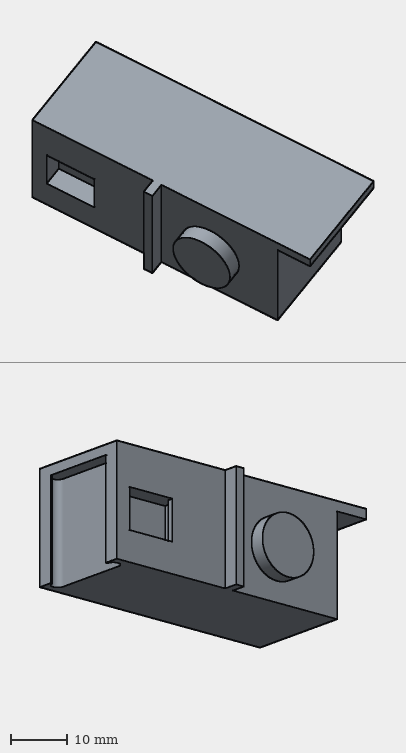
import cadquery as cq

length = 58.5
body_length = 51.7
body_width = 21.0
height = 22.2
plate_thickness = 2.0

projection = 3.0
rib_start = 25.4
rib_thickness = 1.8
boss_diameter = 12.0
boss_x = 37.55
boss_z = 10.05

recess_wall = 3.0
recess_depth = 3.0
undercut_diameter = 2.6

window_x = 3.05
window_length = 10.0
window_z = 6.0
window_height = 8.1
window_depth = 4.0
window_lip = 1.15
window_undercut = 1.7


def box(x, y, z, dx, dy, dz):
    """Box with its lowest corner at (x, y, z)."""
    return cq.Workplane("XY").box(dx, dy, dz, centered=False).translate((x, y, z))


def make_body():
    block = box(0, 0, 0, body_length, body_width, height)
    plate = box(0, 0, height - plate_thickness, length, body_width, plate_thickness)
    return block.union(plate)


def make_projections():
    rib = box(rib_start, -projection, 0, rib_thickness, projection, height)
    boss = (
        cq.Workplane("XZ")
        .center(boss_x, boss_z)
        .circle(boss_diameter / 2)
        .extrude(projection)
    )
    return rib.union(boss)


def make_end_recess():
    recess_height = height - plate_thickness
    recess_width = body_width - 2 * recess_wall
    recess = box(0, recess_wall, 0, recess_depth, recess_width, recess_height)
    undercut_x = recess_depth - undercut_diameter / 2
    undercuts = (
        cq.Workplane("XY")
        .pushPoints([
            (undercut_x, recess_wall),
            (undercut_x, body_width - recess_wall),
        ])
        .circle(undercut_diameter / 2)
        .extrude(recess_height)
    )
    return recess.union(undercuts)


def make_window():
    opening = box(window_x, 0, window_z, window_length, window_depth, window_height)
    widening = box(
        window_x,
        window_lip,
        window_z,
        window_length + window_undercut,
        window_depth - window_lip,
        window_height,
    )
    return opening.union(widening)


result = make_body().union(make_projections()).cut(make_end_recess()).cut(make_window())